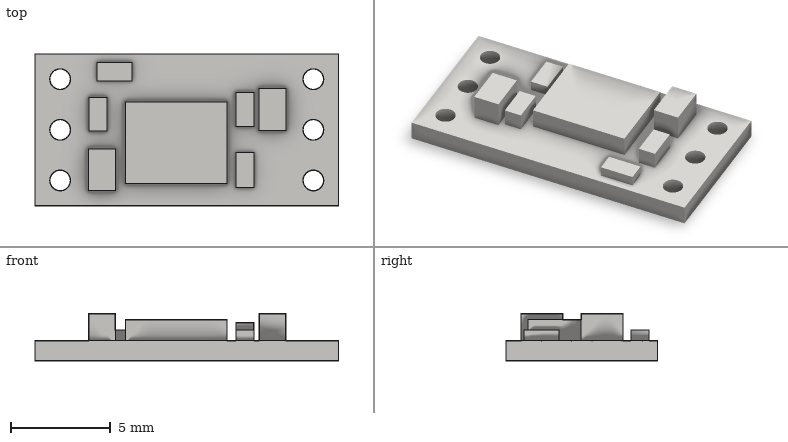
import cadquery as cq

PITCH = 2.54
BOARD_LENGTH = 6 * PITCH
BOARD_WIDTH = 3 * PITCH
BOARD_THICKNESS = 1.02

HOLE_DIAMETER = 1.02
HOLES_PER_COLUMN = 3
HOLE_COLUMN_SPACING = BOARD_LENGTH - PITCH

MODULE_SIZE = (5.1, 4.1, 1.05)
LARGE_CAPACITOR_SIZE = (1.35, 2.1, 1.35)
SMALL_CAPACITOR_SIZE = (0.9, 1.7, 0.9)
RESISTOR_SIZE = (0.92, 1.76, 0.54)
TURNED_RESISTOR_SIZE = (RESISTOR_SIZE[1], RESISTOR_SIZE[0], RESISTOR_SIZE[2])

MODULE_CENTER = (-0.53, -0.65)
LARGE_CAPACITOR_CENTERS = [(-4.25, -2.0), (4.3, 1.02)]
SMALL_CAPACITOR_CENTERS = [(-4.45, 0.78), (2.92, 1.02)]
RESISTOR_CENTER = (2.92, -2.02)
TURNED_RESISTOR_CENTER = (-3.62, 2.92)


def make_board():
    """Rectangular board with a column of through holes at each end."""
    board = cq.Workplane("XY").box(
        BOARD_LENGTH, BOARD_WIDTH, BOARD_THICKNESS, centered=(True, True, False)
    )
    return (
        board.faces(">Z")
        .workplane()
        .rarray(HOLE_COLUMN_SPACING, PITCH, 2, HOLES_PER_COLUMN)
        .hole(HOLE_DIAMETER)
    )


def make_components(size, centers):
    """Equal rectangular bodies standing on the board's top face."""
    length, width, height = size
    return (
        cq.Workplane("XY", origin=(0, 0, BOARD_THICKNESS))
        .pushPoints(centers)
        .rect(length, width)
        .extrude(height)
    )


result = (
    make_board()
    .union(make_components(MODULE_SIZE, [MODULE_CENTER]))
    .union(make_components(LARGE_CAPACITOR_SIZE, LARGE_CAPACITOR_CENTERS))
    .union(make_components(SMALL_CAPACITOR_SIZE, SMALL_CAPACITOR_CENTERS))
    .union(make_components(RESISTOR_SIZE, [RESISTOR_CENTER]))
    .union(make_components(TURNED_RESISTOR_SIZE, [TURNED_RESISTOR_CENTER]))
)